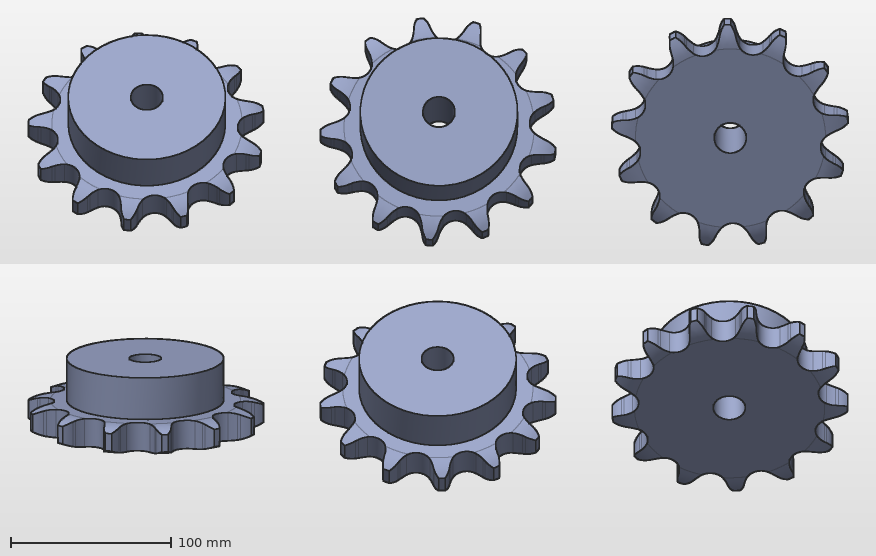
import cadquery as cq
import math


overall_width = 147.2
overall_height = 45.0
tooth_count = 13
plate_thickness = 18.3
hub_diameter = 98.0
bore_diameter = 20.0
side_relief_radius = 32.0
side_relief_depth = 3.5

roller_per_pitch = 0.6
outside_per_pitch = 0.6

seating_per_roller = 0.507
flank_center_per_roller = 0.8
tip_center_per_roller = 1.4

tooth_angle = 2 * math.pi / tooth_count
half_tooth_angle = tooth_angle / 2
flank_start_angle = math.radians(35 + 60 / tooth_count)
flank_sweep = math.radians(18 - 56 / tooth_count)
flank_end_angle = flank_start_angle - flank_sweep
gap_angle = math.pi / 2
next_tooth_angle = gap_angle - half_tooth_angle

origin = (0, 0)


def polar(center, radius, angle):
    return (center[0] + radius * math.cos(angle), center[1] + radius * math.sin(angle))


def angle_between(center, point):
    return math.atan2(point[1] - center[1], point[0] - center[0])


def turned(point, angle):
    return polar(origin, math.hypot(*point), angle_between(origin, point) + angle)


def mirrored(point):
    return (-point[0], point[1])


def tip_radius_for(pitch):
    return pitch * (outside_per_pitch + 1 / math.tan(half_tooth_angle)) / 2


def half_gap_points(pitch):
    """Right half of the gap on +Y: gap bottom, seat end, flank middle and end,
    straight line end, tip arc middle and tooth corner."""
    roller_diameter = roller_per_pitch * pitch
    roller_center = (0, pitch / (2 * math.sin(half_tooth_angle)))

    seating_radius = seating_per_roller * roller_diameter
    bottom = polar(roller_center, seating_radius, -math.pi / 2)
    seat_end = polar(roller_center, seating_radius, -flank_start_angle)

    center_offset = flank_center_per_roller * roller_diameter
    flank_center = polar(roller_center, center_offset, math.pi - flank_start_angle)
    flank_radius = center_offset + seating_radius
    flank_middle = polar(flank_center, flank_radius, -flank_start_angle + flank_sweep / 2)
    flank_end = polar(flank_center, flank_radius, -flank_end_angle)

    tip_center = polar(roller_center, tip_center_per_roller * roller_diameter, -half_tooth_angle)
    offset_x = tip_center[0] - flank_end[0]
    offset_y = tip_center[1] - flank_end[1]
    tip_arc_radius = offset_x * math.cos(flank_end_angle) - offset_y * math.sin(flank_end_angle)
    tip_arc_start = math.pi - flank_end_angle
    line_end = polar(tip_center, tip_arc_radius, tip_arc_start)

    tip_radius = tip_radius_for(pitch)
    center_distance = math.hypot(*tip_center)
    squares = tip_radius**2 + center_distance**2 - tip_arc_radius**2
    corner_offset = math.acos(squares / (2 * tip_radius * center_distance))
    corner = polar(origin, tip_radius, angle_between(origin, tip_center) + corner_offset)
    tip_arc_end = angle_between(tip_center, corner)
    tip_middle = polar(tip_center, tip_arc_radius, (tip_arc_start + tip_arc_end) / 2)
    return [bottom, seat_end, flank_middle, flank_end, line_end, tip_middle, corner]


def pitch_for_width(width):
    """Pitch that makes the widest tooth tips, a quarter tooth off the X axis, span the width."""
    unit_corner = half_gap_points(1)[-1]
    half_land_angle = angle_between(origin, unit_corner) - next_tooth_angle
    unit_width = 2 * tip_radius_for(1) * math.cos(half_tooth_angle / 2 - half_land_angle)
    return width / unit_width


def toothed_plate(pitch):
    """Flat plate with the full ring of teeth, drawn clockwise one gap and one tooth tip at a time."""
    right_points = half_gap_points(pitch)
    left_points = [mirrored(point) for point in right_points]
    left_corner = left_points[-1]
    land_middle = polar(origin, tip_radius_for(pitch), next_tooth_angle)
    outline = cq.Workplane("XY").moveTo(*left_corner)
    for index in range(tooth_count):
        turn = -index * tooth_angle
        right = [turned(point, turn) for point in right_points]
        left = [turned(point, turn) for point in left_points]
        bottom, seat_end, flank_middle, flank_end, line_end, tip_middle, corner = right
        _, left_seat_end, left_flank_middle, left_flank_end, left_line_end, left_tip_middle, _ = left
        outline = (
            outline.threePointArc(left_tip_middle, left_line_end)
            .lineTo(*left_flank_end)
            .threePointArc(left_flank_middle, left_seat_end)
            .threePointArc(bottom, seat_end)
            .threePointArc(flank_middle, flank_end)
            .lineTo(*line_end)
            .threePointArc(tip_middle, corner)
            .threePointArc(turned(land_middle, turn), turned(left_corner, turn - tooth_angle))
        )
    return outline.close().extrude(plate_thickness)


def relieved_disc(rim_radius):
    """Disc whose rim curves in from both faces, starting tangent to each face."""
    relief_angle = math.acos(1 - side_relief_depth / side_relief_radius)
    relief_start = rim_radius - side_relief_radius * math.sin(relief_angle)
    relief_center = (relief_start, side_relief_radius)
    lower_middle = polar(relief_center, side_relief_radius, relief_angle / 2 - math.pi / 2)
    upper_middle = (lower_middle[0], plate_thickness - lower_middle[1])
    return (
        cq.Workplane("XZ")
        .lineTo(relief_start, 0)
        .threePointArc(lower_middle, (rim_radius, side_relief_depth))
        .lineTo(rim_radius, plate_thickness - side_relief_depth)
        .threePointArc(upper_middle, (relief_start, plate_thickness))
        .lineTo(0, plate_thickness)
        .close()
        .revolve(360, (0, 0), (0, 1))
    )


chain_pitch = pitch_for_width(overall_width)
wheel = toothed_plate(chain_pitch).intersect(relieved_disc(tip_radius_for(chain_pitch)))
hub = cq.Workplane("XY").circle(hub_diameter / 2).extrude(overall_height)
bore = cq.Workplane("XY").circle(bore_diameter / 2).extrude(overall_height)
result = wheel.union(hub).cut(bore)